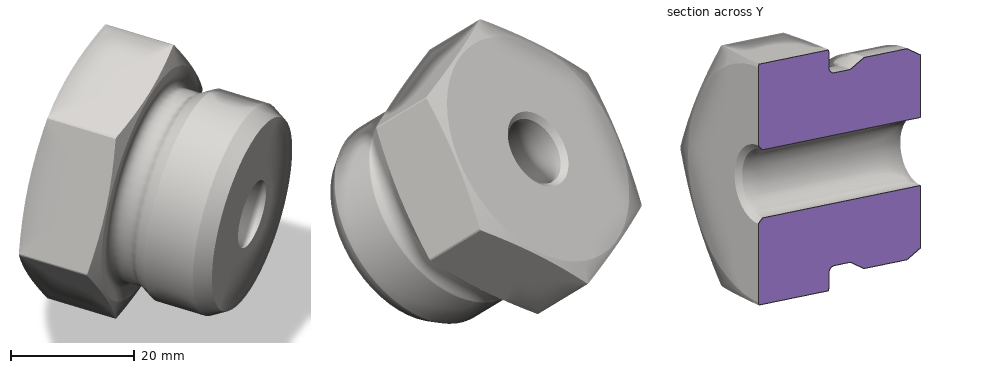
import cadquery as cq
import math

across_flats = 41.0
corner_diameter = 47.2
head_length = 14.0
head_face_diameter = 39.95
head_chamfer_angle = 15.0

total_length = 32.0
shank_diameter = 36.0
neck_diameter = 32.9
neck_fillet = 1.0
neck_end = 18.4
cone_angle = math.radians(30)
rim_radius = 0.4
end_diameter = 32.9
neck_blend_radius = 1.0

bore_diameter = 11.5
bore_mouth_diameter = 13.3
bore_chamfer = (bore_mouth_diameter - bore_diameter) / 2


def revolve_about_x(profile):
    """Revolve a closed (x, radius) profile about the X axis."""
    return profile.close().revolve(360, (0, 0, 0), (1, 0, 0))


def make_head():
    """Hexagon with corners on Y, limited by a barrel with conical ends."""
    across_corners = across_flats / math.cos(math.radians(30))
    hexagon = cq.Workplane("YZ").polygon(6, across_corners).extrude(head_length)
    face_radius = head_face_diameter / 2
    corner_radius = corner_diameter / 2
    chamfer_length = (corner_radius - face_radius) * math.tan(math.radians(head_chamfer_angle))
    barrel = revolve_about_x(
        cq.Workplane("XY")
        .lineTo(0, face_radius)
        .lineTo(chamfer_length, corner_radius)
        .lineTo(head_length - chamfer_length, corner_radius)
        .lineTo(head_length, face_radius)
        .lineTo(head_length, 0)
    )
    return hexagon.intersect(barrel)


def make_shank():
    """Neck with blended ends, cone up to the full diameter and a chamfered end."""
    neck_radius = neck_diameter / 2
    shank_radius = shank_diameter / 2
    fillet_middle = neck_fillet * (1 - math.sqrt(0.5))
    blend_run = neck_blend_radius * math.sin(cone_angle)
    blend_rise = neck_blend_radius * (1 - math.cos(cone_angle))
    blend_start = neck_end - blend_run
    blend_middle = (
        blend_start + neck_blend_radius * math.sin(cone_angle / 2),
        neck_radius + neck_blend_radius * (1 - math.cos(cone_angle / 2)),
    )
    cone_rise = shank_radius - neck_radius - blend_rise
    shank_start = neck_end + cone_rise / math.tan(cone_angle)
    end_chamfer_length = (shank_diameter - end_diameter) / 2 / math.tan(cone_angle)
    shank_end = total_length - end_chamfer_length
    shank = revolve_about_x(
        cq.Workplane("XY")
        .moveTo(head_length, 0)
        .lineTo(head_length, neck_radius + neck_fillet)
        .threePointArc(
            (head_length + fillet_middle, neck_radius + fillet_middle),
            (head_length + neck_fillet, neck_radius),
        )
        .lineTo(blend_start, neck_radius)
        .threePointArc(blend_middle, (neck_end, neck_radius + blend_rise))
        .lineTo(shank_start, shank_radius)
        .lineTo(shank_end, shank_radius)
        .lineTo(total_length, end_diameter / 2)
        .lineTo(total_length, 0)
    )
    rims = cq.selectors.BoxSelector(
        (shank_start - rim_radius, -shank_diameter, -shank_diameter),
        (shank_end + rim_radius, shank_diameter, shank_diameter),
    )
    return shank.edges("%CIRCLE").edges(rims).fillet(rim_radius)


def make_bore():
    """Through bore with a 45 degree chamfer at the head face."""
    bore_radius = bore_diameter / 2
    return revolve_about_x(
        cq.Workplane("XY")
        .lineTo(0, bore_mouth_diameter / 2)
        .lineTo(bore_chamfer, bore_radius)
        .lineTo(total_length, bore_radius)
        .lineTo(total_length, 0)
    )


result = make_head().union(make_shank()).cut(make_bore())